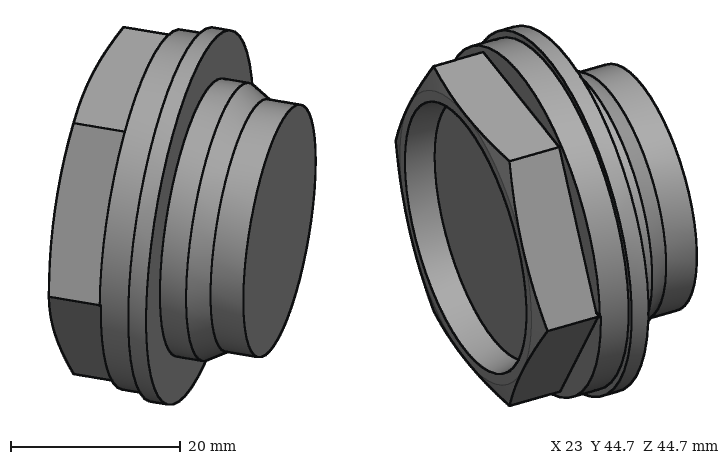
import cadquery as cq
import math

HEX_FLATS = 35.95
HEX_LENGTH = 7.4
HEX_CHAMFER_DEPTH = 0.75
COLLAR_DIAMETER = 43.0
COLLAR_LENGTH = 3.6
COLLAR_STEP_HEIGHT = 0.15
COLLAR_STEP_Z = 0.45
FLANGE_DIAMETER = 44.7
FLANGE_LENGTH = 2.2
SHOULDER_DIAMETER = 33.23
SHOULDER_LENGTH = 3.2
CONE_LENGTH = 2.55
SPIGOT_DIAMETER = 30.2
TOTAL_LENGTH = 23.0
RECESS_MOUTH_DIAMETER = 33.23
RECESS_FLOOR_DIAMETER = 31.97
RECESS_DEPTH = 3.58

HEX_CORNERS = HEX_FLATS / math.cos(math.pi / 6)
COLLAR_END = HEX_LENGTH + COLLAR_LENGTH
FLANGE_END = COLLAR_END + FLANGE_LENGTH
SHOULDER_END = FLANGE_END + SHOULDER_LENGTH
CONE_END = SHOULDER_END + CONE_LENGTH


def revolve_about_x(points):
    """Revolve a closed outline of (x, radius) points about the X axis."""
    return cq.Workplane("XY").polyline(points).close().revolve(360, (0, 0), (1, 0))


def make_hexagon():
    """Hexagon with flats facing +Z and -Z, its corners cut by a shallow cone."""
    prism = cq.Workplane("YZ").polygon(6, HEX_CORNERS).extrude(HEX_LENGTH)
    envelope = revolve_about_x([
        (0, 0),
        (0, HEX_FLATS / 2),
        (HEX_CHAMFER_DEPTH, HEX_CORNERS / 2),
        (HEX_LENGTH, HEX_CORNERS / 2),
        (HEX_LENGTH, 0),
    ])
    return prism.intersect(envelope)


def make_turned_body():
    """Collar, flange, shoulder, cone and spigot behind the hexagon."""
    return revolve_about_x([
        (HEX_LENGTH, 0),
        (HEX_LENGTH, COLLAR_DIAMETER / 2),
        (COLLAR_END, COLLAR_DIAMETER / 2),
        (COLLAR_END, FLANGE_DIAMETER / 2),
        (FLANGE_END, FLANGE_DIAMETER / 2),
        (FLANGE_END, SHOULDER_DIAMETER / 2),
        (SHOULDER_END, SHOULDER_DIAMETER / 2),
        (CONE_END, SPIGOT_DIAMETER / 2),
        (TOTAL_LENGTH, SPIGOT_DIAMETER / 2),
        (TOTAL_LENGTH, 0),
    ])


def make_collar_step():
    """Thin raised segment on the upper part of the collar face."""
    disc = (
        cq.Workplane("YZ", origin=(HEX_LENGTH - COLLAR_STEP_HEIGHT, 0, 0))
        .circle(COLLAR_DIAMETER / 2)
        .extrude(COLLAR_STEP_HEIGHT)
    )
    upper_space = cq.Workplane("XY", origin=(HEX_LENGTH, 0, COLLAR_STEP_Z)).box(
        HEX_LENGTH, COLLAR_DIAMETER, COLLAR_DIAMETER, centered=(True, True, False)
    )
    return disc.intersect(upper_space)


def make_recess():
    """Slightly tapered blind recess in the hexagon face."""
    return revolve_about_x([
        (0, 0),
        (0, RECESS_MOUTH_DIAMETER / 2),
        (RECESS_DEPTH, RECESS_FLOOR_DIAMETER / 2),
        (RECESS_DEPTH, 0),
    ])


solid_plug = make_hexagon().union(make_turned_body()).union(make_collar_step())
result = solid_plug.cut(make_recess())